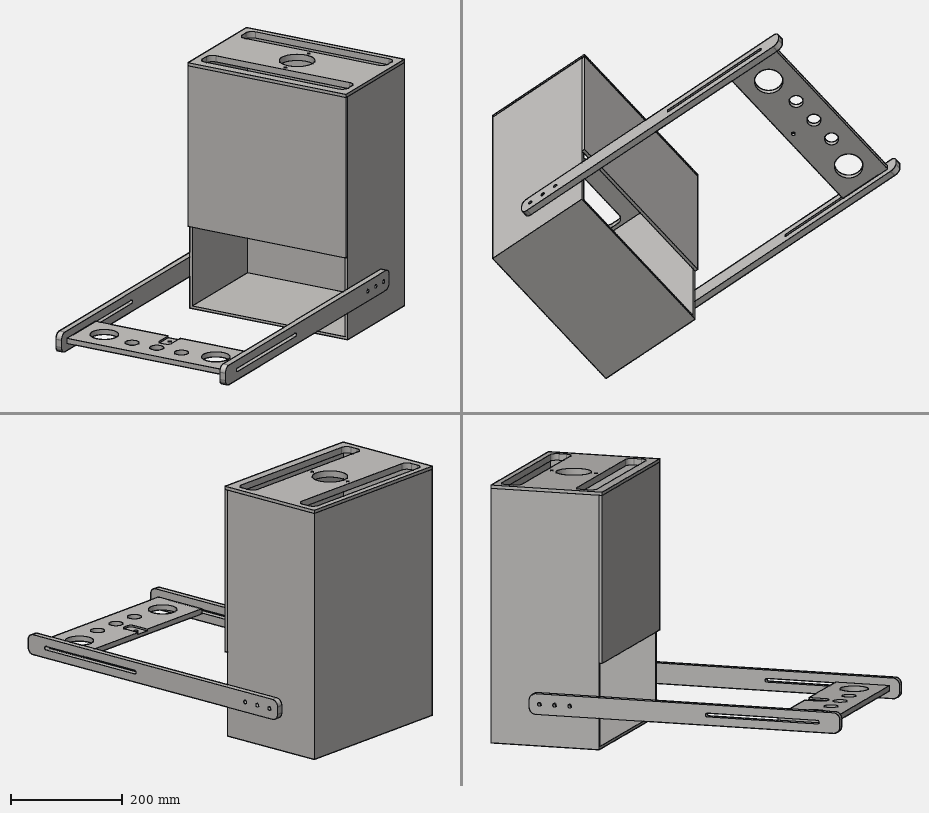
import cadquery as cq

SHEET = 6.0
FLOOR = 5.0
BOARD = 12.0
OVERALL_WIDTH = 350.0
OVERALL_DEPTH = 660.5
OVERALL_HEIGHT = 469.5

HOUSING_WIDTH = OVERALL_WIDTH - 2 * BOARD
HOUSING_DEPTH = 203.5
HOUSING_HEIGHT = OVERALL_HEIGHT - SHEET
INNER_WIDTH = HOUSING_WIDTH - 2 * SHEET

PANEL_BOTTOM = 158.0

LID_DEPTH = HOUSING_DEPTH + SHEET
LID_STEP = BOARD - SHEET
LID_CENTRE_Y = -HOUSING_DEPTH / 2
VENT_LENGTH = 300.0
VENT_WIDTH = 38.0
VENT_CORNER = 12.0
VENT_MARGIN = 12.0
VENT_OFFSET = HOUSING_DEPTH / 2 - VENT_MARGIN - VENT_WIDTH / 2
LID_HOLE_DIAMETER = 63.5
LID_SCREW_DIAMETER = 5.1
LID_SCREW_OFFSET = 41.5

ARM_LENGTH = 584.5
ARM_HEIGHT = 37.5
ARM_CENTRE_Z = 78.5
ARM_CORNER = 12.0
ARM_FRONT_Y = -OVERALL_DEPTH
ARM_BACK_Y = ARM_FRONT_Y + ARM_LENGTH
ARM_HOLE_DIAMETER = 6.5
ARM_HOLE_COUNT = 3
ARM_HOLE_PITCH = 28.5
ARM_HOLE_SETBACK = 19.0
ARM_SLOT_WIDTH = 6.5
ARM_SLOT_LENGTH = 214.0
ARM_SLOT_SETBACK = 39.0

PLATE_THICKNESS = 10.0
PLATE_DEPTH = 102.0
PLATE_BACK_Y = -540.0
PLATE_CENTRE_Y = PLATE_BACK_Y - PLATE_DEPTH / 2
LARGE_HOLE_DIAMETER = 51.0
LARGE_HOLE_OFFSET = 115.0
SMALL_HOLE_DIAMETER = 25.0
SMALL_HOLE_PITCH = 51.0
SMALL_HOLE_SETBACK = 63.0
RECESS_WIDTH = 25.0
RECESS_LENGTH = 39.5
RECESS_DEPTH = 3.0
RECESS_CORNER = 8.5
RECESS_HOLE_DIAMETER = 6.5
RECESS_HOLE_SETBACK = 16.0


def block(width, front_y, back_y, bottom, top):
    """Box centred on X = 0 that fills the given Y and Z ranges."""
    return (
        cq.Workplane("XY")
        .box(width, back_y - front_y, top - bottom, centered=(True, False, False))
        .translate((0, front_y, bottom))
    )


def make_housing():
    shell = block(HOUSING_WIDTH, -HOUSING_DEPTH, 0, 0, HOUSING_HEIGHT)
    cavity = block(INNER_WIDTH, -HOUSING_DEPTH, -SHEET, FLOOR, HOUSING_HEIGHT)
    return shell.cut(cavity)


def make_front_panel():
    return block(HOUSING_WIDTH, -LID_DEPTH, -HOUSING_DEPTH, PANEL_BOTTOM, HOUSING_HEIGHT)


def make_lid():
    step_bottom = HOUSING_HEIGHT - LID_STEP
    flange = block(HOUSING_WIDTH, -LID_DEPTH, 0, HOUSING_HEIGHT, OVERALL_HEIGHT)
    step = block(INNER_WIDTH, -HOUSING_DEPTH, -SHEET, step_bottom, HOUSING_HEIGHT)
    base = cq.Workplane("XY", origin=(0, LID_CENTRE_Y, step_bottom))
    vents = (
        base.pushPoints([(0, -VENT_OFFSET), (0, VENT_OFFSET)])
        .rect(VENT_LENGTH, VENT_WIDTH)
        .extrude(BOARD)
        .edges("|Z")
        .fillet(VENT_CORNER)
    )
    centre_hole = base.circle(LID_HOLE_DIAMETER / 2).extrude(BOARD)
    screw_holes = (
        base.pushPoints([(0, -LID_SCREW_OFFSET), (0, LID_SCREW_OFFSET)])
        .circle(LID_SCREW_DIAMETER / 2)
        .extrude(BOARD)
    )
    return flange.union(step).cut(vents).cut(centre_hole).cut(screw_holes)


def make_arm(low_x):
    """Arm lying along Y, with its lower-X face at low_x."""
    side = cq.Workplane("YZ", origin=(low_x, 0, ARM_CENTRE_Z))
    arm = (
        side.center(ARM_FRONT_Y + ARM_LENGTH / 2, 0)
        .rect(ARM_LENGTH, ARM_HEIGHT)
        .extrude(BOARD)
        .edges("|X")
        .fillet(ARM_CORNER)
    )
    first_hole_y = ARM_BACK_Y - ARM_HOLE_SETBACK
    hole_points = [(first_hole_y - i * ARM_HOLE_PITCH, 0) for i in range(ARM_HOLE_COUNT)]
    holes = side.pushPoints(hole_points).circle(ARM_HOLE_DIAMETER / 2).extrude(BOARD)
    slot = (
        side.center(ARM_FRONT_Y + ARM_SLOT_SETBACK + ARM_SLOT_LENGTH / 2, 0)
        .slot2D(ARM_SLOT_LENGTH, ARM_SLOT_WIDTH)
        .extrude(BOARD)
    )
    return arm.cut(holes).cut(slot)


def make_cross_plate():
    bottom = ARM_CENTRE_Z - PLATE_THICKNESS / 2
    top = bottom + PLATE_THICKNESS
    plate = block(HOUSING_WIDTH, PLATE_BACK_Y - PLATE_DEPTH, PLATE_BACK_Y, bottom, top)
    base = cq.Workplane("XY", origin=(0, 0, bottom))
    large_holes = (
        base.pushPoints([(side * LARGE_HOLE_OFFSET, PLATE_CENTRE_Y) for side in (-1, 1)])
        .circle(LARGE_HOLE_DIAMETER / 2)
        .extrude(PLATE_THICKNESS)
    )
    small_hole_y = PLATE_BACK_Y - SMALL_HOLE_SETBACK
    small_holes = (
        base.pushPoints([(i * SMALL_HOLE_PITCH, small_hole_y) for i in (-1, 0, 1)])
        .circle(SMALL_HOLE_DIAMETER / 2)
        .extrude(PLATE_THICKNESS)
    )
    recess = (
        block(RECESS_WIDTH, PLATE_BACK_Y - RECESS_LENGTH, PLATE_BACK_Y, top - RECESS_DEPTH, top)
        .edges("|Z and <Y")
        .fillet(RECESS_CORNER)
    )
    recess_hole = (
        base.center(0, PLATE_BACK_Y - RECESS_HOLE_SETBACK)
        .circle(RECESS_HOLE_DIAMETER / 2)
        .extrude(PLATE_THICKNESS)
    )
    return plate.cut(large_holes).cut(small_holes).cut(recess).cut(recess_hole)


housing = make_housing()
front_panel = make_front_panel()
lid = make_lid()
arms = [make_arm(x) for x in (-OVERALL_WIDTH / 2, HOUSING_WIDTH / 2)]
cross_plate = make_cross_plate()

result = cq.Compound.makeCompound(
    [housing.val(), front_panel.val(), lid.val(), *[arm.val() for arm in arms], cross_plate.val()]
)